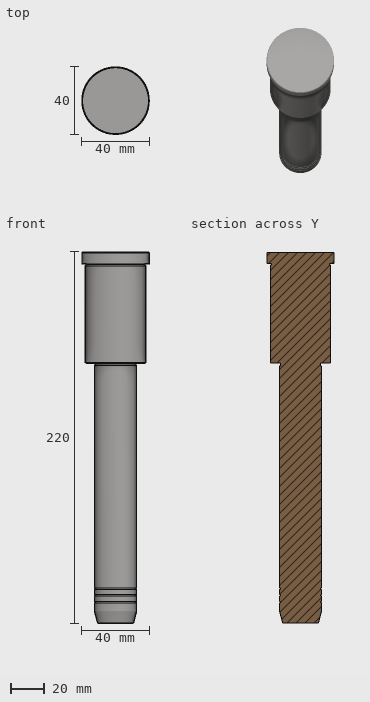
import cadquery as cq

total_length = 220.0
head_diameter = 40.0
head_height = 7.0
head_chamfer = 0.5
body_diameter = 36.0
body_length = 59.0
body_top_chamfer = 0.7
body_bottom_chamfer = 0.7
pin_diameter = 25.0

collar_length = 0.5

neck_depth = 0.5
neck_length = 1.3

tip_length = 7.0
tip_diameter = 21.3
tip_fillet = 0.9

groove_count = 3
groove_pitch = 4.0
groove_radius = 0.5
lowest_groove_z = 12.5

head_bottom_z = total_length - head_height
body_top_z = head_bottom_z - collar_length
body_bottom_z = head_bottom_z - body_length


def cylinder(diameter, bottom_z, length):
    return cq.Workplane("XY").workplane(offset=bottom_z).circle(diameter / 2).extrude(length)


def make_pin():
    """Pin with a tapered, round-edged lead-in and a slightly thinner neck, revolved about Z."""
    pin_radius = pin_diameter / 2
    tip_radius = tip_diameter / 2
    neck_radius = pin_radius - neck_depth
    neck_bottom_z = body_bottom_z - neck_length
    return (
        cq.Workplane("XZ")
        .lineTo(tip_radius, 0)
        .lineTo(pin_radius, tip_length)
        .lineTo(pin_radius, neck_bottom_z)
        .lineTo(neck_radius, neck_bottom_z)
        .lineTo(neck_radius, body_bottom_z)
        .lineTo(0, body_bottom_z)
        .close()
        .revolve(360, (0, 0), (0, 1))
        .faces("<Z").edges().fillet(tip_fillet)
    )


def make_ring_groove(center_z):
    """Ring of round section, centred on the pin surface, that cuts a half-round groove."""
    return (
        cq.Workplane("XZ")
        .center(pin_diameter / 2, center_z)
        .circle(groove_radius)
        .revolve(360, (-pin_diameter / 2, 0), (-pin_diameter / 2, 1))
    )


head = cylinder(head_diameter, head_bottom_z, head_height).faces(">Z").chamfer(head_chamfer)
collar = cylinder(body_diameter - 2 * body_top_chamfer, body_top_z, collar_length)
body = (
    cylinder(body_diameter, body_bottom_z, body_top_z - body_bottom_z)
    .faces(">Z").chamfer(body_top_chamfer)
    .faces("<Z").chamfer(body_bottom_chamfer)
)

result = make_pin().union(body).union(collar).union(head)
for index in range(groove_count):
    result = result.cut(make_ring_groove(lowest_groove_z + index * groove_pitch))